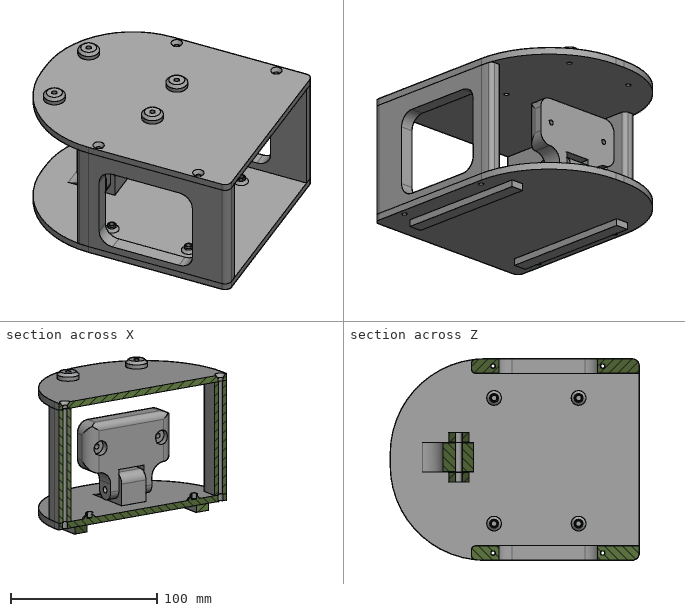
import cadquery as cq

length = 170.5
width = 138.0
plate_thickness = 5.0
wall_height = 80.1
nose_radius = 65.0
rear_corner_radius = 5.0

skid_height = 5.0
base_bottom = skid_height
base_top = base_bottom + plate_thickness
cover_bottom = base_top + wall_height
cover_top = cover_bottom + plate_thickness

wall_thickness = 10.0
wall_start_x = 55.6
wall_end_fillet = 3.0
window_start_x = 73.1
window_length = 70.0
window_height = 62.0
window_sill = 5.5
window_fillet = 10.0

screw_x_positions = (70.5, 145.5)
screw_y = width / 2 - wall_thickness / 2
screw_clearance_diameter = 3.5
screw_thread_diameter = 2.7
countersink_diameter = 7.7
countersink_angle = 78.0

foot_pairs = ((20.6, 28.1), (90.7, 20.0))
foot_diameter = 15.0
foot_height = 5.0
foot_chamfer = 2.0
foot_hole_diameter = 3.5

mount_centre_y = -0.9
skid_start_x = 50.1
skid_length = 100.1
skid_width = 10.0
skid_half_spacing = 50.0

stud_x_positions = (71.1, 128.9)
stud_half_spacing = 43.0
stud_base_diameter = 10.0
stud_diameter = 6.0
stud_cone_height = (stud_base_diameter - stud_diameter) / 2
stud_height = 4.1
stud_chamfer = 0.7
stud_hole_diameter = 3.8

hinge_x = 47.0
hinge_z = base_top + 10.0
hinge_y = 1.5
hinge_hole_diameter = 4.5

lug_width = 20.0
lug_half_length = 10.0
lug_height = 22.0
lug_top_fillet = 6.6
lug_foot_radius = 15.0
lug_top = base_top + lug_height

flap_thickness = 14.0
flap_width = 70.0
flap_bottom = base_top + 25.0
flap_height = 35.0
flap_corner_radius = 8.5
flap_top_fillet = 5.0
leg_span = 34.0
leg_gap = 20.5
flap_web_radius = (flap_width - leg_span) / 2 - flap_corner_radius
flap_hole_half_spacing = 25.0
flap_hole_diameter = 3.5
flap_counterbore_diameter = 10.0
flap_counterbore_depth = 5.0

overshoot = 1.7


def plate_outline(bottom, thickness):
    """Solid with the D-shaped outline shared by the plates and the outer sides of the walls."""
    return (
        cq.Workplane("XY", origin=(length / 2, 0, bottom))
        .rect(length, width)
        .extrude(thickness)
        .edges("|Z and <X")
        .fillet(nose_radius)
        .edges("|Z and >X")
        .fillet(rear_corner_radius)
    )


def screw_points():
    return [(x, side * screw_y) for x in screw_x_positions for side in (-1, 1)]


def foot_points():
    return [(x, side * y) for x, y in foot_pairs for side in (-1, 1)]


def make_cover():
    """Top plate with four chamfered feet and countersunk screw holes."""
    feet = (
        cq.Workplane("XY", origin=(0, 0, cover_top))
        .pushPoints(foot_points())
        .circle(foot_diameter / 2)
        .extrude(foot_height)
        .faces(">Z")
        .chamfer(foot_chamfer)
    )
    return (
        plate_outline(cover_bottom, plate_thickness)
        .faces(">Z")
        .workplane(origin=(0, 0, cover_top))
        .pushPoints(screw_points())
        .cskHole(screw_clearance_diameter, countersink_diameter, countersink_angle)
        .union(feet)
        .faces(">Z")
        .workplane(origin=(0, 0, cover_top + foot_height))
        .pushPoints(foot_points())
        .hole(foot_hole_diameter)
    )


def make_lug():
    """Hinge lug: rounded top, upright back and a concave foot that runs out onto the base."""
    nose_x = hinge_x - lug_half_length
    back_x = hinge_x + lug_half_length
    foot_x = nose_x - lug_foot_radius
    foot_top = base_top + lug_foot_radius
    return (
        cq.Workplane("XZ", origin=(0, hinge_y + lug_width / 2, 0))
        .moveTo(back_x, base_bottom)
        .lineTo(back_x, lug_top - lug_top_fillet)
        .tangentArcPoint((back_x - lug_top_fillet, lug_top), relative=False)
        .lineTo(nose_x + lug_top_fillet, lug_top)
        .tangentArcPoint((nose_x, lug_top - lug_top_fillet), relative=False)
        .lineTo(nose_x, foot_top)
        .tangentArcPoint((foot_x, base_top), relative=False)
        .lineTo(foot_x, base_bottom)
        .close()
        .extrude(lug_width)
    )


def make_hinge_hole():
    """Cutter for the hinge axis, long enough for the lug and both flap legs."""
    return (
        cq.Workplane("XZ", origin=(hinge_x, hinge_y + flap_width / 2, hinge_z))
        .circle(hinge_hole_diameter / 2)
        .extrude(flap_width)
    )


def make_stud():
    """Hollow mounting stud on a conical base, centred on the Z axis of the base's top face."""
    hole_radius = stud_hole_diameter / 2
    stud_radius = stud_diameter / 2
    return (
        cq.Workplane("XZ", origin=(0, 0, base_top))
        .moveTo(hole_radius, 0)
        .lineTo(stud_base_diameter / 2, 0)
        .lineTo(stud_radius, stud_cone_height)
        .lineTo(stud_radius, stud_height - stud_chamfer)
        .lineTo(stud_radius - stud_chamfer, stud_height)
        .lineTo(hole_radius, stud_height)
        .close()
        .revolve(360, (0, 0, 0), (0, 1, 0))
    )


def make_base():
    """Bottom plate with its hinge lug, mounting studs and screw holes."""
    stud_points = [
        (x, mount_centre_y + side * stud_half_spacing)
        for x in stud_x_positions
        for side in (-1, 1)
    ]
    base = (
        plate_outline(base_bottom, plate_thickness)
        .faces(">Z")
        .workplane(origin=(0, 0, base_top))
        .pushPoints(screw_points())
        .hole(screw_clearance_diameter)
        .union(make_lug())
        .cut(make_hinge_hole())
    )
    for x, y in stud_points:
        base = base.union(make_stud().translate((x, y, 0)))
    return base


def make_wall(side):
    """Side wall on the -Y (side = -1) or +Y (side = 1) edge, following the plate outline."""
    wall_length = length - wall_start_x
    blank = cq.Workplane("XY").box(
        wall_length, wall_thickness, wall_height, centered=(False, True, False)
    ).translate((wall_start_x, side * screw_y, base_top))
    window = (
        cq.Workplane("XY")
        .box(window_length, wall_thickness + overshoot, window_height, centered=(False, True, False))
        .edges("|Y")
        .fillet(window_fillet)
        .translate((window_start_x, side * screw_y, base_top + window_sill))
    )
    screw_holes = (
        cq.Workplane("XY", origin=(0, 0, base_top))
        .pushPoints([(x, side * screw_y) for x in screw_x_positions])
        .circle(screw_thread_diameter / 2)
        .extrude(wall_height)
    )
    return (
        plate_outline(base_top, wall_height)
        .intersect(blank)
        .edges("|Z and <X")
        .fillet(wall_end_fillet)
        .cut(window)
        .cut(screw_holes)
    )


def make_skid(side):
    """Rectangular runner under the base."""
    return cq.Workplane("XY").box(
        skid_length, skid_width, skid_height, centered=(False, True, False)
    ).translate((skid_start_x, mount_centre_y + side * skid_half_spacing, 0))


def make_leg_web(side, front_x):
    """Concave web in the corner between the underside of the pad and a leg."""
    leg_y = hinge_y + side * leg_span / 2
    outer_y = leg_y + side * flap_web_radius
    middle_y = (leg_y + outer_y) / 2
    web_bottom = flap_bottom - flap_web_radius
    web = cq.Workplane("XY").box(
        flap_thickness, flap_web_radius, flap_web_radius, centered=(False, True, False)
    ).translate((front_x, middle_y, web_bottom))
    hollow = (
        cq.Workplane("YZ", origin=(front_x, outer_y, web_bottom))
        .circle(flap_web_radius)
        .extrude(flap_thickness)
    )
    return web.cut(hollow)


def make_flap():
    """Hinged pad with two legs; its back is rounded along the top and both sides."""
    front_x = hinge_x - flap_thickness / 2
    back_x = hinge_x + flap_thickness / 2
    leg_bottom = hinge_z - flap_thickness / 2
    flap_top = flap_bottom + flap_height
    blank_height = flap_top - leg_bottom

    pad = cq.Workplane("XY").box(
        flap_thickness, flap_width, flap_height, centered=(False, True, False)
    ).edges("|X").fillet(flap_corner_radius).translate((front_x, hinge_y, flap_bottom))
    legs = cq.Workplane("XY").box(
        flap_thickness, leg_span, blank_height, centered=(False, True, False)
    ).translate((front_x, hinge_y, leg_bottom))
    leg_gap_cutter = cq.Workplane("XY").box(
        flap_thickness, leg_gap, flap_bottom - leg_bottom, centered=(False, True, False)
    ).translate((front_x, hinge_y, leg_bottom))
    flap = pad.union(legs)
    for side in (-1, 1):
        flap = flap.union(make_leg_web(side, front_x))
    flap = flap.cut(leg_gap_cutter)

    side_profile = (
        cq.Workplane("XZ", origin=(0, hinge_y + flap_width / 2, 0))
        .moveTo(front_x, hinge_z)
        .threePointArc((hinge_x, leg_bottom), (back_x, hinge_z))
        .lineTo(back_x, flap_top)
        .lineTo(front_x, flap_top)
        .close()
        .extrude(flap_width)
        .edges("|Y and >Z and >X")
        .fillet(flap_top_fillet)
    )

    plan_profile = (
        cq.Workplane("XY")
        .box(flap_thickness, flap_width, blank_height, centered=(False, True, False))
        .edges("|Z and >X")
        .fillet(flap_corner_radius)
        .translate((front_x, hinge_y, leg_bottom))
    )

    hole_z = flap_bottom + flap_height / 2
    return (
        flap.intersect(side_profile)
        .intersect(plan_profile)
        .cut(make_hinge_hole())
        .copyWorkplane(cq.Workplane("YZ", origin=(back_x, hinge_y, hole_z)))
        .pushPoints([(-flap_hole_half_spacing, 0), (flap_hole_half_spacing, 0)])
        .cboreHole(flap_hole_diameter, flap_counterbore_diameter, flap_counterbore_depth)
    )


cover = make_cover()
base = make_base()
flap = make_flap()
walls = [make_wall(side) for side in (-1, 1)]
skids = [make_skid(side) for side in (-1, 1)]

result = cq.Compound.makeCompound(
    [cover.val(), base.val(), flap.val()]
    + [wall.val() for wall in walls]
    + [skid.val() for skid in skids]
)